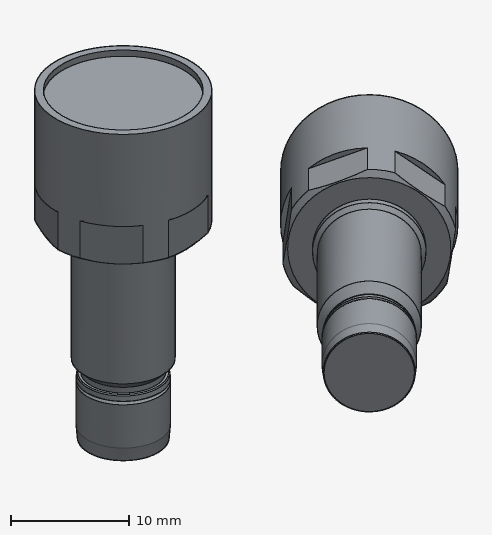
import cadquery as cq
import math

total_height = 34.0

head_diameter = 15.0
head_bottom = 21.0
recess_diameter = 13.5
recess_depth = 0.6
flat_count = 6
across_flats = 14.0
flats_height = 4.0
head_chamfer_width = 0.6
head_chamfer_angle = 30.0
head_chamfer_height = head_chamfer_width * math.tan(math.radians(head_chamfer_angle))

collar_diameter = 9.6
shaft_diameter = 8.8
shaft_top = 20.0
collar_chamfer = (collar_diameter - shaft_diameter) / 2

neck_diameter = 7.2
neck_top = 7.05
shaft_bevel = (shaft_diameter - neck_diameter) / 2

plug_diameter = 8.0
plug_top = 6.5
ring_chamfer = 0.1
groove_top = 5.9
ring_taper_angle = 5.0
ring_taper_inset = (plug_top - groove_top) * math.tan(math.radians(ring_taper_angle))
groove_root = 5.8
groove_bottom = 5.57
groove_depth = 0.2
tip_chamfer = 0.08
tip_taper_angle = 4.5
tip_taper_top = 1.35
tip_taper_inset = tip_taper_top * math.tan(math.radians(tip_taper_angle))


def make_turned_body():
    """Revolve the outer profile about the Z axis."""
    head_radius = head_diameter / 2
    collar_radius = collar_diameter / 2
    shaft_radius = shaft_diameter / 2
    neck_radius = neck_diameter / 2
    plug_radius = plug_diameter / 2
    tip_radius = plug_radius - tip_taper_inset
    ring_top_radius = plug_radius - ring_taper_inset
    profile = [
        (0, 0),
        (tip_radius - tip_chamfer, 0),
        (tip_radius, tip_chamfer),
        (plug_radius, tip_taper_top),
        (plug_radius, groove_bottom),
        (plug_radius - groove_depth, groove_root),
        (plug_radius, groove_top),
        (ring_top_radius, plug_top - ring_chamfer),
        (ring_top_radius - ring_chamfer, plug_top),
        (neck_radius, plug_top),
        (neck_radius, neck_top),
        (shaft_radius, neck_top + shaft_bevel),
        (shaft_radius, shaft_top),
        (collar_radius, shaft_top + collar_chamfer),
        (collar_radius, head_bottom),
        (head_radius - head_chamfer_width, head_bottom),
        (head_radius, head_bottom + head_chamfer_height),
        (head_radius, total_height),
        (0, total_height),
    ]
    return cq.Workplane("XZ").polyline(profile).close().revolve(360, (0, 0), (0, 1))


def cut_wrench_flats(body):
    """Cut the hexagonal wrench flats, with two of them facing along Y."""
    across_corners = across_flats / math.cos(math.pi / flat_count)
    waste = (
        cq.Workplane("XY", origin=(0, 0, head_bottom))
        .circle(head_diameter)
        .polygon(flat_count, across_corners)
        .extrude(flats_height)
    )
    return body.cut(waste)


def cut_top_recess(body):
    """Sink the shallow round recess into the top face."""
    recess = (
        cq.Workplane("XY", origin=(0, 0, total_height))
        .circle(recess_diameter / 2)
        .extrude(-recess_depth)
    )
    return body.cut(recess)


result = cut_top_recess(cut_wrench_flats(make_turned_body()))